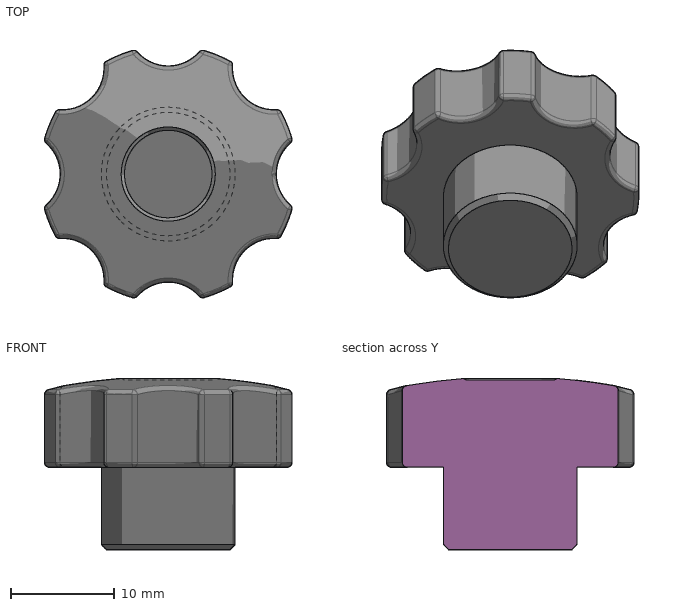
import cadquery as cq
import math

hub_height = 8.0
total_height = 16.655
hub_diameter = 13.0
hub_chamfer = 0.5

head_radius = 12.5
flute_count = 8
flute_radius = 4.0
flute_floor_radius = 10.5
edge_fillet = 0.5

recess_rim_radius = 4.57
recess_floor_radius = 4.25
recess_depth = 0.165

rim_z = total_height
crown_radius = 58.0


def crown_z(radius):
    """Height of the spherical crown at a distance from the axis."""
    rim_sag = math.sqrt(crown_radius**2 - recess_rim_radius**2)
    return rim_z - rim_sag + math.sqrt(crown_radius**2 - radius**2)


def domed_blank():
    """Revolved head before fluting, with a domed top."""
    mid_radius = head_radius / 2
    return (
        cq.Workplane("XZ")
        .moveTo(0, hub_height)
        .lineTo(head_radius, hub_height)
        .lineTo(head_radius, crown_z(head_radius))
        .threePointArc((mid_radius, crown_z(mid_radius)), (0, crown_z(0)))
        .close()
        .revolve(360, (0, 0, 0), (0, 1, 0))
    )


def flute_cutters():
    """Ring of upright cylinders that scoop the grip flutes."""
    return (
        cq.Workplane("XY")
        .polarArray(flute_floor_radius + flute_radius, 0, 360, flute_count)
        .circle(flute_radius)
        .extrude(crown_z(0))
    )


def fluted_head():
    """Head with flutes, every outer edge rounded."""
    return domed_blank().cut(flute_cutters()).edges().fillet(edge_fillet)


def hub():
    """Plain cylindrical hub with a chamfered lower end."""
    return (
        cq.Workplane("XY")
        .circle(hub_diameter / 2)
        .extrude(hub_height)
        .faces("<Z")
        .chamfer(hub_chamfer)
    )


def crown_recess():
    """Conical cutter, widened past the rim at the same wall slope to clear the crown."""
    floor_z = rim_z - recess_depth
    wall_slope = (recess_rim_radius - recess_floor_radius) / recess_depth
    cutter_height = recess_depth + crown_z(0) - floor_z
    cutter_top_radius = recess_floor_radius + wall_slope * cutter_height
    floor_center = cq.Vector(0, 0, floor_z)
    cutter = cq.Solid.makeCone(recess_floor_radius, cutter_top_radius, cutter_height, floor_center)
    return cq.Workplane(cutter)


result = fluted_head().union(hub()).cut(crown_recess())